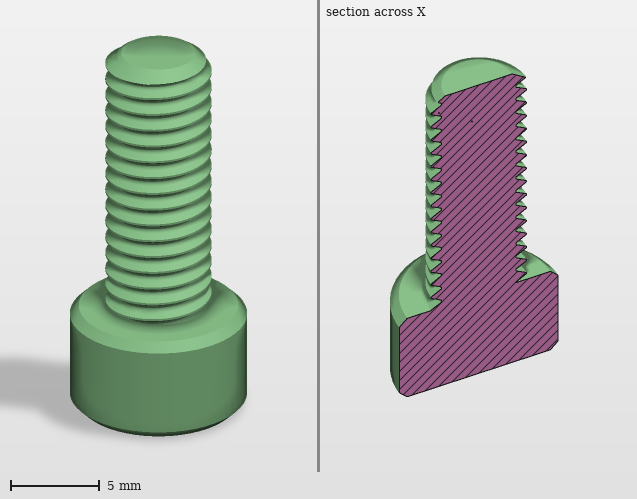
import cadquery as cq
import math

total_length = 22.0
head_diameter = 10.0
head_height = 6.0
head_chamfer = 0.5
thread_diameter = 6.0
root_diameter = 4.7
tip_diameter = 4.2
tip_cone_height = 0.62
thread_turns = 16
flank_angle = 30.0
first_crest_depth = 1.3
runout_plane_y = -2.2
runout_depth = 0.57

shank_length = total_length - head_height
pitch = shank_length / thread_turns
crest_flat = pitch / 8
thread_radius = thread_diameter / 2
root_radius = root_diameter / 2

ridge_embed = 0.05
envelope_clearance = 0.22


def make_head():
    """Cylindrical head with equal chamfers on both rims."""
    return (
        cq.Workplane("XY")
        .circle(head_diameter / 2)
        .extrude(head_height)
        .edges()
        .chamfer(head_chamfer)
    )


def make_envelope():
    """Solid that trims the thread flush with the head and to the conical tip."""
    envelope_radius = thread_radius + envelope_clearance
    cone_slope = tip_cone_height / (thread_radius - tip_diameter / 2)
    cone_base_z = total_length - (envelope_radius - tip_diameter / 2) * cone_slope
    return (
        cq.Workplane("XZ")
        .moveTo(0, head_height)
        .lineTo(envelope_radius, head_height)
        .lineTo(envelope_radius, cone_base_z)
        .lineTo(tip_diameter / 2, total_length)
        .lineTo(0, total_length)
        .close()
        .revolve(360, (0, 0, 0), (0, 1, 0))
    )


def make_core():
    """Root cylinder that overruns both ends of the shank."""
    return (
        cq.Workplane("XY", origin=(0, 0, head_height - pitch))
        .circle(root_radius)
        .extrude(shank_length + 2 * pitch)
    )


def make_ridge():
    """Right-hand helical ridge that overruns both ends of the shank."""
    base_radius = root_radius - ridge_embed
    crest_half = crest_flat / 2
    base_half = crest_half + (thread_radius - base_radius) * math.tan(math.radians(flank_angle))
    start_z = total_length - first_crest_depth - thread_turns * pitch
    ridge_rise = (thread_turns + 2) * pitch

    helix = cq.Wire.makeHelix(pitch, ridge_rise, root_radius, cq.Vector(0, 0, start_z))
    profile = (
        cq.Workplane("XZ")
        .moveTo(base_radius, start_z - base_half)
        .lineTo(thread_radius, start_z - crest_half)
        .lineTo(thread_radius, start_z + crest_half)
        .lineTo(base_radius, start_z + base_half)
        .close()
    )
    return profile.sweep(cq.Workplane(obj=helix), isFrenet=True)


def make_runout():
    """Block that fills the groove beyond the flat where it ends at the tip."""
    return cq.Workplane("XY").box(
        thread_diameter,
        thread_radius + runout_plane_y,
        runout_depth + pitch,
        centered=(True, False, False),
    ).translate((0, -thread_radius, total_length - runout_depth))


threaded_rod = make_core().union(make_ridge(), clean=False).union(make_runout(), clean=False)
shank = threaded_rod.intersect(make_envelope(), clean=False)
result = make_head().union(shank, clean=False)